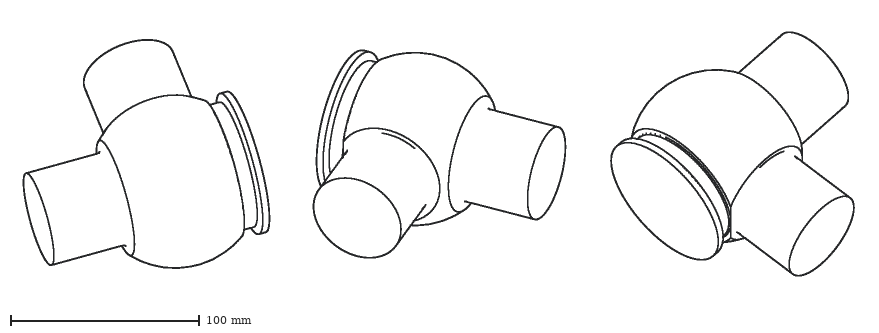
import cadquery as cq
import math

ball_diameter = 92.1
ball_radius = ball_diameter / 2
flat_x = 35.1
flat_y = 33.3
flange_flat = 26.2

pipe_radius = 25.4
overall_length = 122.6
pipe_end_x = overall_length - ball_radius
pipe_end_y = 76.4
root_fillet_x = 1.6
root_fillet_y = 3.0

flange_face = 40.0
neck_radius = 34.5
neck_fillet = 0.7
flange_radius = 38.9
rim_thickness = 3.8
taper_length = 1.6


def make_ball():
    """Ball turned about Y between its two Y flats, then cut flat on its -X side."""
    pipe_flat_radius = math.sqrt(ball_radius**2 - flat_y**2)
    flange_flat_radius = math.sqrt(ball_radius**2 - flange_flat**2)
    profile = (
        cq.Workplane("XY")
        .moveTo(0, -flat_y)
        .lineTo(pipe_flat_radius, -flat_y)
        .threePointArc((ball_radius, 0), (flange_flat_radius, flange_flat))
        .lineTo(0, flange_flat)
        .close()
    )
    ball = profile.revolve(360, (0, 0, 0), (0, 1, 0))
    cutter_size = 2 * ball_radius
    cutter = cq.Workplane("XY").box(cutter_size, cutter_size, cutter_size)
    return ball.cut(cutter.translate((-flat_x - cutter_size / 2, 0, 0)))


def make_pipe(flat, end, root_fillet):
    """Solid pipe along -Y that flares into its flat with a concave fillet."""
    profile = (
        cq.Workplane("XY")
        .moveTo(0, -flat)
        .lineTo(pipe_radius + root_fillet, -flat)
        .radiusArc((pipe_radius, -flat - root_fillet), -root_fillet)
        .lineTo(pipe_radius, -end)
        .lineTo(0, -end)
        .close()
    )
    return profile.revolve(360, (0, 0, 0), (0, 1, 0))


def make_flange():
    """Neck and clamp flange along +Y, with a tapered back on the rim."""
    rim_back = flange_face - rim_thickness
    profile = (
        cq.Workplane("XY")
        .moveTo(0, flange_flat)
        .lineTo(neck_radius + neck_fillet, flange_flat)
        .radiusArc((neck_radius, flange_flat + neck_fillet), neck_fillet)
        .lineTo(neck_radius, rim_back - taper_length)
        .lineTo(flange_radius, rim_back)
        .lineTo(flange_radius, flange_face)
        .lineTo(0, flange_face)
        .close()
    )
    return profile.revolve(360, (0, 0, 0), (0, 1, 0))


pipe_y = make_pipe(flat_y, pipe_end_y, root_fillet_y)
pipe_x = make_pipe(flat_x, pipe_end_x, root_fillet_x).rotate((0, 0, 0), (0, 0, 1), -90)

result = make_ball().union(pipe_y).union(pipe_x).union(make_flange())